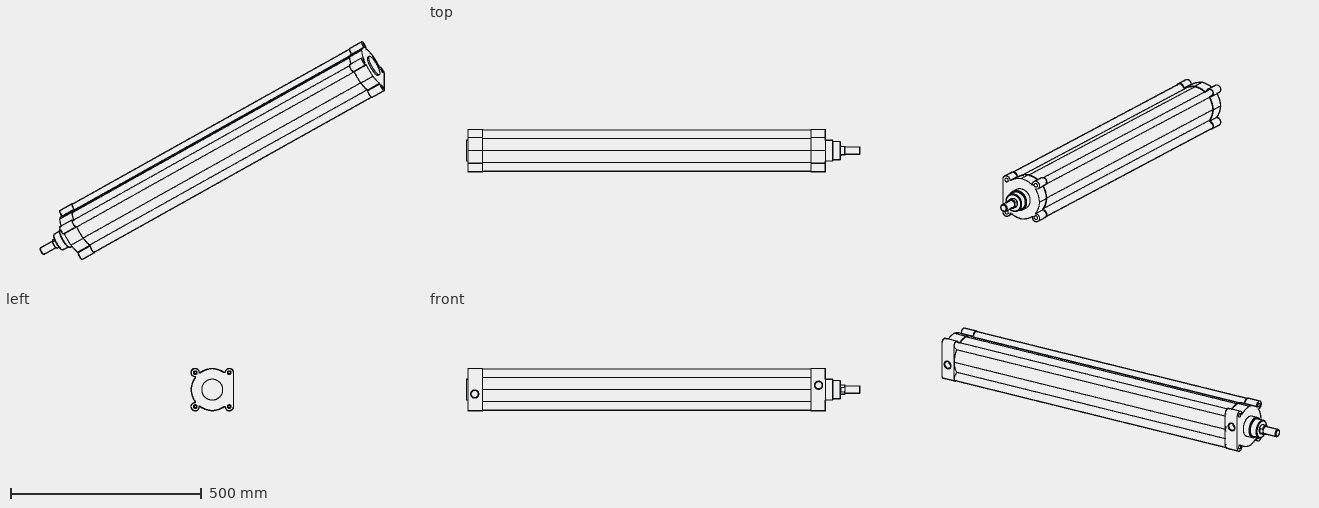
import cadquery as cq
import math


stroke = 800.0
length_over_caps = 138.0 + stroke
cap_length = 38.0
barrel_length = length_over_caps - 2 * cap_length
cap_width = 112.0
barrel_width = 108.6
screw_spacing = 89.0

cap_lug_radius = 11.0
lug_spacing = cap_width - 2 * cap_lug_radius
barrel_rib_radius = 8.0
ridge_half_width = 9.0
ridge_height = 1.6

overlap = 1.0

screw_hole_diameter = 10.0
screw_hole_depth = 18.0
socket_diameter = 6.0
socket_depth = 28.0

port_diameter = 18.6
port_chamfer = 1.5
port_depth = 20.0
port_from_face = 18.0
port_offset = 11.5

collar_diameter = 55.0
rear_collar_length = 4.0
front_collar_length = 20.0
collar_chamfer = 2.0
nose_diameter = 48.0
nose_end = 40.0
nose_chamfer = 2.0

rod_diameter = 25.0
rod_reach = 51.0
rod_chamfer = 1.0
thread_diameter = 20.0
thread_length = 40.0
thread_chamfer = 2.0
flats_width = 22.0
flats_length = 10.0


def cylinder(diameter, start, end):
    """Solid cylinder on the X axis from X = start to X = end."""
    return cq.Workplane("YZ", origin=(start, 0, 0)).circle(diameter / 2).extrude(end - start)


def section(width, start, length):
    """Round body with a shallow two-sided ridge along the middle of each side."""
    ridge_edge = width / 2 - ridge_height
    round_radius = math.hypot(ridge_half_width, ridge_edge)
    plane = cq.Workplane("YZ", origin=(start, 0, 0))
    body = plane.circle(round_radius).extrude(length)
    ridge = (
        plane.moveTo(0, 0)
        .lineTo(ridge_half_width, ridge_edge)
        .lineTo(0, width / 2)
        .lineTo(-ridge_half_width, ridge_edge)
        .close()
        .extrude(length)
    )
    for quarter in range(4):
        body = body.union(ridge.rotate((0, 0, 0), (1, 0, 0), 90 * quarter))
    return body


def make_cap():
    """End cap as fitted at the rear: outer face at X = 0, flat port side toward -Y."""
    cap = section(cap_width, 0, cap_length)
    lugs = cq.Workplane("YZ").rect(lug_spacing, lug_spacing, forConstruction=True).vertices()
    cap = cap.union(lugs.circle(cap_lug_radius).extrude(cap_length))
    flat_side = cq.Workplane("XY").box(
        cap_length, cap_width / 2, lug_spacing, centered=(False, False, True)
    )
    cap = cap.union(flat_side.translate((0, -cap_width / 2, 0)))
    screws = cq.Workplane("YZ").rect(screw_spacing, screw_spacing, forConstruction=True).vertices()
    cap = cap.cut(screws.circle(screw_hole_diameter / 2).extrude(screw_hole_depth))
    cap = cap.cut(screws.circle(socket_diameter / 2).extrude(socket_depth))
    port = (
        cq.Workplane("XZ", origin=(port_from_face, -cap_width / 2, -port_offset))
        .circle(port_diameter / 2)
        .extrude(-port_depth)
    )
    mouth = cq.Solid.makeCone(
        port_diameter / 2 + port_chamfer,
        port_diameter / 2,
        port_chamfer,
        cq.Vector(port_from_face, -cap_width / 2, -port_offset),
        cq.Vector(0, 1, 0),
    )
    return cap.cut(port).cut(mouth)


def make_rear_cap():
    """Cap with the short centring collar on its outer face."""
    return make_cap().union(cylinder(collar_diameter, -rear_collar_length, overlap))


def make_barrel():
    """Barrel with a round-ended rib running out along each diagonal."""
    barrel = section(barrel_width, cap_length, barrel_length)
    rib_reach = math.sqrt(2) * (barrel_width / 2 - barrel_rib_radius)
    rib = (
        cq.Workplane("YZ", origin=(cap_length, 0, 0))
        .moveTo(0, -barrel_rib_radius)
        .lineTo(rib_reach, -barrel_rib_radius)
        .threePointArc((rib_reach + barrel_rib_radius, 0), (rib_reach, barrel_rib_radius))
        .lineTo(0, barrel_rib_radius)
        .close()
        .extrude(barrel_length)
    )
    for quarter in range(4):
        barrel = barrel.union(rib.rotate((0, 0, 0), (1, 0, 0), 45 + 90 * quarter))
    return barrel


def make_front_cap():
    """Same cap turned half a turn about Y, with the collar, nose and rod bore."""
    face = length_over_caps
    cap = make_cap().rotate((0, 0, 0), (0, 1, 0), 180).translate((face, 0, 0))
    collar = cylinder(collar_diameter, face - overlap, face + front_collar_length)
    nose = cylinder(nose_diameter, face - overlap, face + nose_end)
    cap = cap.union(collar.faces(">X").chamfer(collar_chamfer))
    cap = cap.union(nose.faces(">X").chamfer(nose_chamfer))
    return cap.cut(cylinder(rod_diameter, face - cap_length, face + nose_end))


def make_rod():
    """Rod from the barrel end outward, with a pair of wrench flats behind the smaller threaded end."""
    start = length_over_caps - cap_length
    shoulder = length_over_caps + rod_reach
    rod = cylinder(rod_diameter, start, shoulder).faces(">X").chamfer(rod_chamfer)
    for side in (-1, 1):
        flat_cutter = cq.Workplane("XY").box(flats_length, rod_diameter, rod_diameter)
        flat_middle = (shoulder - flats_length / 2, side * (flats_width + rod_diameter) / 2, 0)
        rod = rod.cut(flat_cutter.translate(flat_middle))
    thread = cylinder(thread_diameter, shoulder - overlap, shoulder + thread_length)
    return rod.union(thread.faces(">X").chamfer(thread_chamfer))


rear_cap = make_rear_cap()
barrel = make_barrel()
front_cap = make_front_cap()
rod = make_rod()

result = cq.Compound.makeCompound([rear_cap.val(), barrel.val(), front_cap.val(), rod.val()])